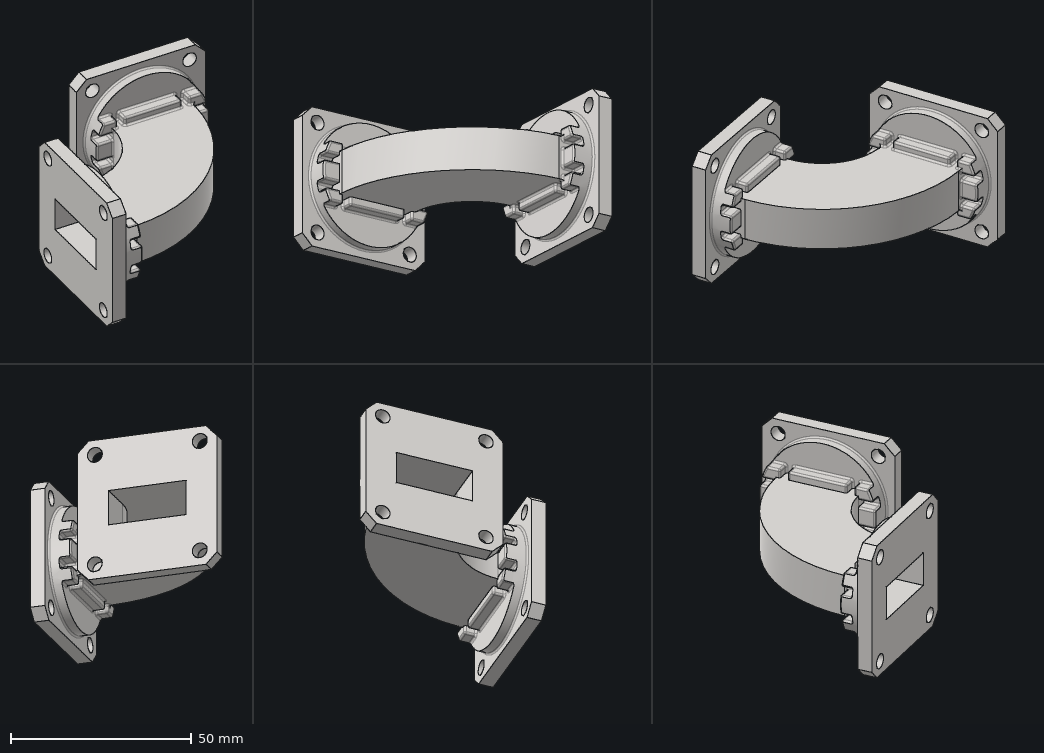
import cadquery as cq
overall = 63.55
flange_size = 41.25
flange_thickness = 4.4
flange_corner_chamfer = 3.25
hole_diameter = 4.3
hole_spacing_across = 31.0
hole_spacing_up = 32.5

bore_width = 22.9
bore_height = 10.2
wall = 1.3
bend_mean_radius = 31.8

collar_diameter = 36.1
collar_face = 7.5
boss_height = 17.8
slot_width = 2.35
broad_slot_offset = 10.3
narrow_slot_offset = 4.0

collar_fillet = 0.5
tooth_round = 0.6
boss_fillet = 0.6
trim_allowance = 0.05

axis_offset = overall - flange_size / 2
bend_start = axis_offset - bend_mean_radius
tooth_top = bend_start
tube_width = bore_width + 2 * wall
tube_height = bore_height + 2 * wall
stub_end = tooth_top + 2 * boss_fillet
untrimmed_diameter = collar_diameter + trim_allowance
tolerance = 0.005


def across_axis(distance):
    """Workplane across the flange axis at x = distance: local x is Y, local y is Z."""
    return cq.Workplane("YZ", origin=(distance, axis_offset, 0))


def slab(width, height, start, end):
    """Rectangular block on the flange axis, from x = start to x = end."""
    return across_axis(start).rect(width, height).extrude(end - start)


def disc(diameter, start, end):
    """Cylinder on the flange axis, from x = start to x = end."""
    return across_axis(start).circle(diameter / 2).extrude(end - start)


def off_axis(edge):
    """Distances of the edge's middle from the flange axis, along Y and along Z."""
    center = edge.Center()
    return abs(center.y - axis_offset), abs(center.z)


def within(edge, width, height):
    """True if the edge lies in or on a rectangle of this size around the flange axis."""
    across, up = off_axis(edge)
    return across < width / 2 + tolerance and up < height / 2 + tolerance


def is_tooth_edge(edge):
    """True for edges outside the tube and above the collar face."""
    return not within(edge, tube_width, tube_height) and edge.Center().x > collar_face + tolerance


def is_tube_corner(edge):
    """True where the tube meets the collar face or the teeth."""
    across, up = off_axis(edge)
    box = edge.BoundingBox()
    on_narrow_side = abs(across - tube_width / 2) < tolerance and box.ylen < tolerance
    on_broad_side = abs(up - tube_height / 2) < tolerance and box.zlen < tolerance
    on_tube = (on_narrow_side or on_broad_side) and within(edge, tube_width, tube_height)
    return on_tube and collar_face - tolerance < edge.Center().x < tooth_top + tolerance


def is_tooth_root(edge):
    """True where the teeth meet the collar face."""
    on_collar = abs(edge.Center().x - collar_face) < tolerance
    return on_collar and within(edge, untrimmed_diameter, untrimmed_diameter) and not is_tube_corner(edge)


def flange_plate():
    """Square plate with cut corners and bolt holes, with a round collar blending into it."""
    plate = slab(flange_size, flange_size, 0, flange_thickness)
    plate = plate.edges("|X").chamfer(flange_corner_chamfer)
    plate = plate.union(disc(collar_diameter, flange_thickness, collar_face))
    plate = plate.faces("<X[1]").edges("%CIRCLE").fillet(collar_fillet)
    holes = (
        across_axis(0)
        .rect(hole_spacing_across, hole_spacing_up, forConstruction=True)
        .vertices()
        .circle(hole_diameter / 2)
        .extrude(flange_thickness)
    )
    return plate.cut(holes)


def teeth():
    """Disc with two flats, slotted down to the tube on all four sides, outer edges rounded."""
    core = slab(tube_width, tube_height, collar_face, tooth_top)
    body = disc(untrimmed_diameter, collar_face, tooth_top)
    body = body.intersect(slab(flange_size, boss_height, collar_face, tooth_top))
    for side in (-1, 1):
        broad_slot = slab(slot_width, flange_size, collar_face, tooth_top)
        narrow_slot = slab(flange_size, slot_width, collar_face, tooth_top)
        body = body.cut(broad_slot.translate((0, side * broad_slot_offset, 0)))
        body = body.cut(narrow_slot.translate((0, 0, side * narrow_slot_offset)))
    body = body.union(core)
    outer_edges = [edge for edge in body.edges().vals() if is_tooth_edge(edge)]
    return body.newObject(outer_edges).fillet(tooth_round)


def toothed_collar(blended_to_tube):
    """Teeth and tube stub on an oversize slab, inner corners filleted, trimmed to the collar diameter."""
    slab_start = flange_thickness + collar_fillet
    body = slab(flange_size, flange_size, slab_start, collar_face)
    body = body.union(teeth())
    body = body.union(slab(tube_width, tube_height, collar_face, stub_end))
    edges = body.edges().vals()
    corners = [edge for edge in edges if is_tooth_root(edge)]
    if blended_to_tube:
        corners += [edge for edge in edges if is_tube_corner(edge)]
    body = body.newObject(corners).fillet(boss_fillet)
    return body.intersect(disc(collar_diameter, slab_start, stub_end))


def flange(blended_to_tube):
    return flange_plate().union(toothed_collar(blended_to_tube))


def bent_bar(width, height):
    """Rectangular bar along the tube path: straight, quarter bend, straight."""
    path = (
        cq.Workplane("XY")
        .moveTo(0, axis_offset)
        .lineTo(bend_start, axis_offset)
        .radiusArc((axis_offset, bend_start), bend_mean_radius)
        .lineTo(axis_offset, 0)
    )
    return across_axis(0).rect(width, height).sweep(path)


first_flange = flange(blended_to_tube=True)
second_flange = flange(blended_to_tube=False).rotate((0, 0, 0), (1, 1, 0), 180)
tube = bent_bar(tube_width, tube_height)
bore = bent_bar(bore_width, bore_height)
result = tube.union(first_flange).union(second_flange).cut(bore)